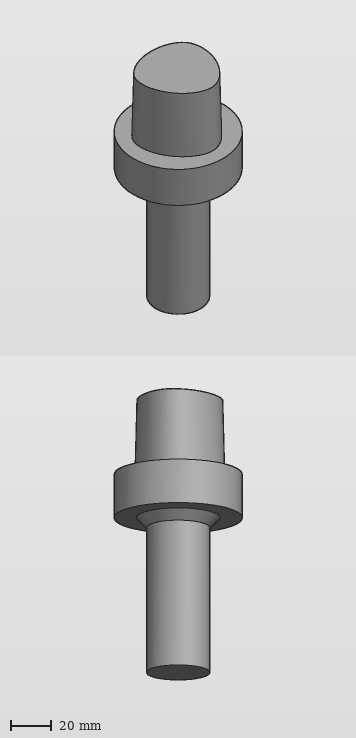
import cadquery as cq
import math

total_height = 138.0
shank_diameter = 31.0
flange_diameter = 62.9
flange_height = 22.0
neck_height = 5.0

polygon_height = 38.0
polygon_base_diameter = 44.2
polygon_taper = 1 / 20
lobe_eccentricity = 1.28
lobe_points = 72

flange_top = total_height - polygon_height
flange_bottom = flange_top - flange_height
neck_bottom = flange_bottom - neck_height
neck_top_diameter = shank_diameter + 2 * neck_height
polygon_top_diameter = polygon_base_diameter - polygon_taper * polygon_height


def lobed_wire(mean_diameter, height):
    """Closed three-lobed curve of constant width, with one lobe toward -Y."""

    def point(turn):
        angle = 2 * math.pi * turn
        along = (
            mean_diameter / 2 * math.cos(angle)
            + 2 * lobe_eccentricity * math.cos(2 * angle)
            - lobe_eccentricity * math.cos(4 * angle)
        )
        across = (
            mean_diameter / 2 * math.sin(angle)
            - 2 * lobe_eccentricity * math.sin(2 * angle)
            - lobe_eccentricity * math.sin(4 * angle)
        )
        return cq.Vector(across, -along, height)

    points = [point(i / lobe_points) for i in range(lobe_points)]
    return cq.Wire.assembleEdges([cq.Edge.makeSpline(points, periodic=True)])


def turned_body():
    """Shank, conical neck and flange as one revolved profile."""
    profile = [
        (0, 0),
        (shank_diameter / 2, 0),
        (shank_diameter / 2, neck_bottom),
        (neck_top_diameter / 2, flange_bottom),
        (flange_diameter / 2, flange_bottom),
        (flange_diameter / 2, flange_top),
        (0, flange_top),
    ]
    return cq.Workplane("XZ").polyline(profile).close().revolve(360, (0, 0), (0, 1))


def polygon_taper_shank():
    """Tapered three-lobed shank lofted from the flange face to the top."""
    base = lobed_wire(polygon_base_diameter, flange_top)
    top = lobed_wire(polygon_top_diameter, total_height)
    return cq.Workplane(cq.Solid.makeLoft([base, top], True))


result = turned_body().union(polygon_taper_shank())